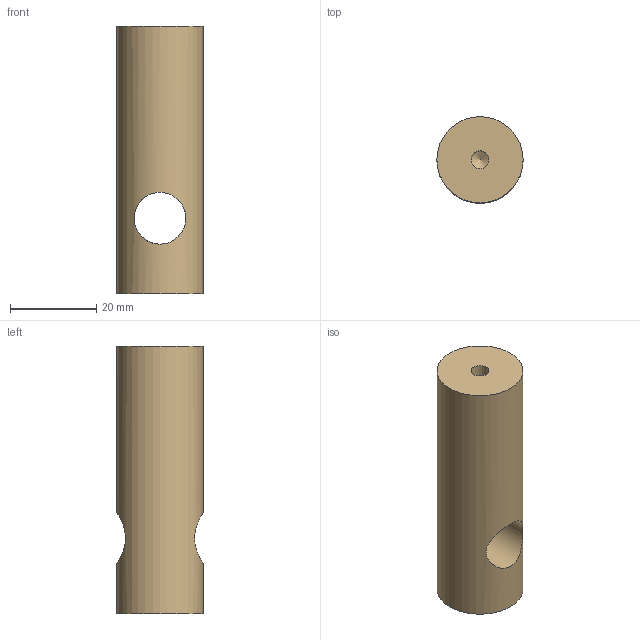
import cadquery as cq
import math

post_diameter = 20.0
post_height = 62.0

cross_hole_diameter = 12.0
cross_hole_height = 17.5

top_hole_diameter = 4.13
top_hole_depth = 15.0
drill_point_angle = 118.0


def make_post():
    return cq.Workplane("XY").circle(post_diameter / 2).extrude(post_height)


def make_cross_hole():
    return (
        cq.Workplane("XZ")
        .center(0, cross_hole_height)
        .circle(cross_hole_diameter / 2)
        .extrude(post_diameter / 2, both=True)
    )


def make_top_hole():
    """Drilled shape: a cylinder ending in a cone, as half a section turned about Z."""
    radius = top_hole_diameter / 2
    cone_length = radius / math.tan(math.radians(drill_point_angle / 2))
    shoulder_height = post_height - top_hole_depth
    return (
        cq.Workplane("XZ")
        .moveTo(0, post_height)
        .lineTo(radius, post_height)
        .lineTo(radius, shoulder_height)
        .lineTo(0, shoulder_height - cone_length)
        .close()
        .revolve(360, (0, 0, 0), (0, 1, 0))
    )


result = make_post().cut(make_cross_hole()).cut(make_top_hole())